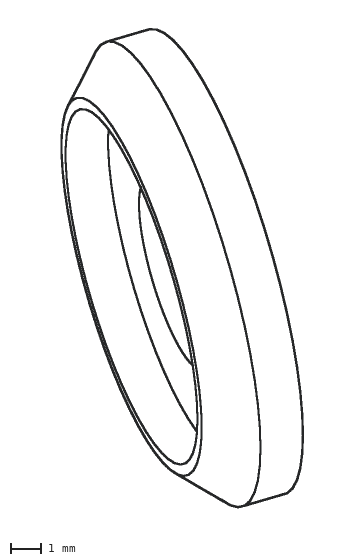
import cadquery as cq

outer_diameter = 16.0
thickness = 3.0
bevel = 1.5
recess_diameter = 12.2
recess_depth = 1.5
hole_diameter = 6.5

disc = cq.Workplane("XZ").circle(outer_diameter / 2).extrude(thickness)
disc = disc.faces("<Y").chamfer(bevel)

recess = (
    cq.Workplane("XZ", origin=(0, recess_depth - thickness, 0))
    .circle(recess_diameter / 2)
    .extrude(recess_depth)
)

hole = cq.Workplane("XZ").circle(hole_diameter / 2).extrude(thickness)

result = disc.cut(recess).cut(hole)